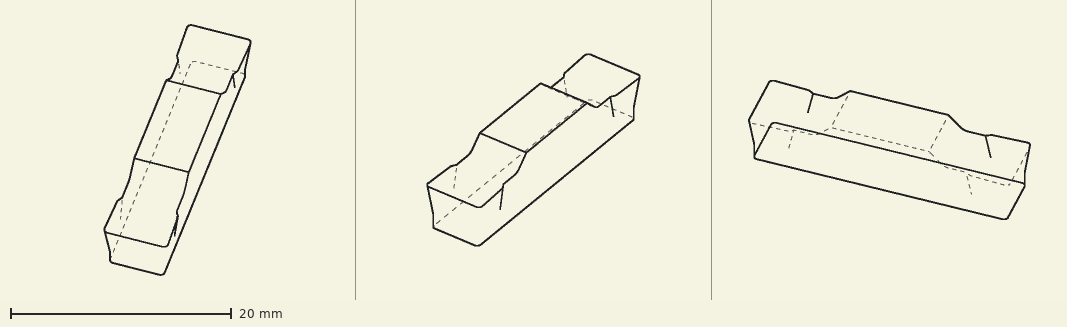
import cadquery as cq
import math

length = 25.15
head_width = 6.05
height = 6.14
body_width = 5.2
deck_height = 4.7

block_half_length = 4.73
block_foot = 6.19
ramp_foot_radius = 1.0

front_clearance = 7.0
side_clearance = 6.0
side_taper = 2.3
end_face_drop = 2.9
side_length = 3.77
shoulder_length = 0.5
shoulder_setback = 0.25
shoulder_drop = 10.8
shoulder_radius = 0.25
corner_radius = 0.4

half_length = length / 2
front_slope = math.tan(math.radians(front_clearance))
side_slope = math.tan(math.radians(side_clearance))
taper_slope = math.tan(math.radians(side_taper))
body_half_length = half_length - end_face_drop * front_slope

corner_trim = taper_slope * corner_radius
sharp_half_width = head_width / 2 + corner_trim
shoulder_y = half_length - side_length
shoulder_half_width = sharp_half_width - side_length * taper_slope
shoulder_slope = shoulder_length / (shoulder_half_width - body_width / 2)


def make_body():
    """Narrow bar with rounded vertical corners and a ramped centre block."""
    profile = [
        (-body_half_length, 0),
        (body_half_length, 0),
        (body_half_length, deck_height),
        (block_foot, deck_height),
        (block_half_length, height),
        (-block_half_length, height),
        (-block_foot, deck_height),
        (-body_half_length, deck_height),
    ]
    body = cq.Workplane("YZ").polyline(profile).close().extrude(body_width / 2, both=True)
    for side in (-1, 1):
        foot = cq.selectors.NearestToPointSelector((0, side * block_foot, deck_height))
        body = body.edges(foot).fillet(ramp_foot_radius)
    return body.edges("|Z").fillet(corner_radius)


def head_outline(depth):
    """Sharp-cornered head outline at a depth below the deck."""
    front_y = half_length - depth * front_slope
    back_y = shoulder_y + depth * shoulder_setback / shoulder_drop
    back_x = shoulder_half_width - depth * side_slope
    front_x = back_x + (front_y - back_y) * taper_slope
    inner_y = back_y - back_x * shoulder_slope
    return [
        (-front_x, front_y),
        (front_x, front_y),
        (back_x, back_y),
        (0, inner_y),
        (-back_x, back_y),
    ]


def make_head():
    """Head at the +Y end, with clearance on its end and both sides."""
    head = (
        cq.Workplane("XY")
        .polyline(head_outline(deck_height))
        .close()
        .workplane(offset=deck_height)
        .polyline(head_outline(0))
        .close()
        .loft(ruled=True)
    )
    mid_depth = deck_height / 2
    front_corner = head_outline(mid_depth)[1]
    back_corner = head_outline(mid_depth)[2]
    for (x, y), radius in ((front_corner, corner_radius), (back_corner, shoulder_radius)):
        for side in (-1, 1):
            corner = cq.selectors.NearestToPointSelector((side * x, y, mid_depth))
            head = head.edges(corner).fillet(radius)
    return head


head = make_head()
result = make_body().union(head).union(head.mirror("XZ"))